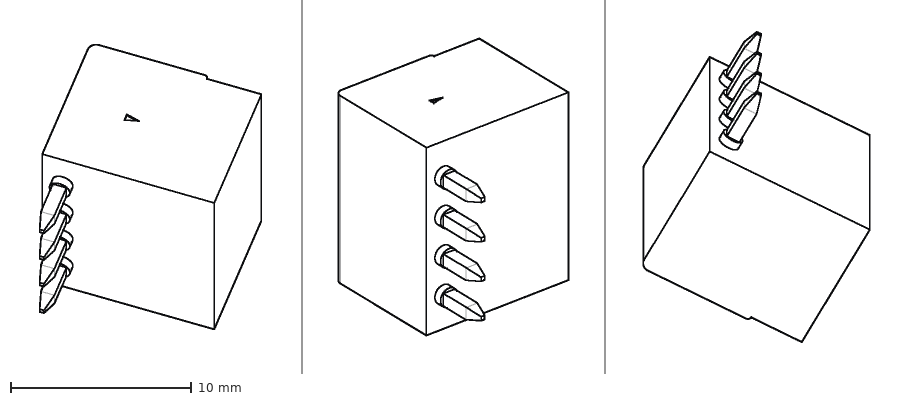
import cadquery as cq

width = 10.1
height = 11.9
depth = 8.1
corner_radius = 0.5
pad_width = 6.9
pad_step = 0.2

pin_count = 4
pin_pitch = 2.5
pin_x = 1.2
collar_diameter = 1.2
collar_length = 0.5
pin_side = 0.8
shoulder_reach = 2.5
tip_reach = 3.5
tip_side = 0.26

mark_x = 3.52
mark_y = 3.92
mark_length = 0.8
mark_width = 0.4
mark_depth = 0.1


def make_housing():
    """Extrude the housing outline upward; the pin face lies at Y = 0."""
    return (
        cq.Workplane("XY")
        .lineTo(width, 0)
        .lineTo(width, depth - pad_step)
        .lineTo(pad_width, depth - pad_step)
        .radiusArc((pad_width - pad_step, depth), -pad_step)
        .lineTo(corner_radius, depth)
        .radiusArc((0, depth - corner_radius), -corner_radius)
        .close()
        .extrude(height)
    )


def make_mark():
    """Triangular pocket tool pointing toward +X."""
    return (
        cq.Workplane("XY", origin=(mark_x, mark_y, height - mark_depth))
        .moveTo(0, -mark_width / 2)
        .lineTo(mark_length, 0)
        .lineTo(0, mark_width / 2)
        .close()
        .extrude(mark_depth)
    )


def make_pin(z):
    """Round collar, square shank and tapered tip, pointing toward -Y."""
    pin_face = cq.Workplane("XZ", origin=(pin_x, 0, z))
    collar = pin_face.circle(collar_diameter / 2).extrude(collar_length)
    shank = pin_face.rect(pin_side, pin_side).extrude(shoulder_reach)
    tip = (
        pin_face.workplane(offset=shoulder_reach)
        .rect(pin_side, pin_side)
        .workplane(offset=tip_reach - shoulder_reach)
        .rect(tip_side, tip_side)
        .loft(ruled=True)
    )
    return collar.union(shank).union(tip)


result = make_housing().cut(make_mark())

lowest_pin_z = (height - (pin_count - 1) * pin_pitch) / 2
for index in range(pin_count):
    result = result.union(make_pin(lowest_pin_z + index * pin_pitch))